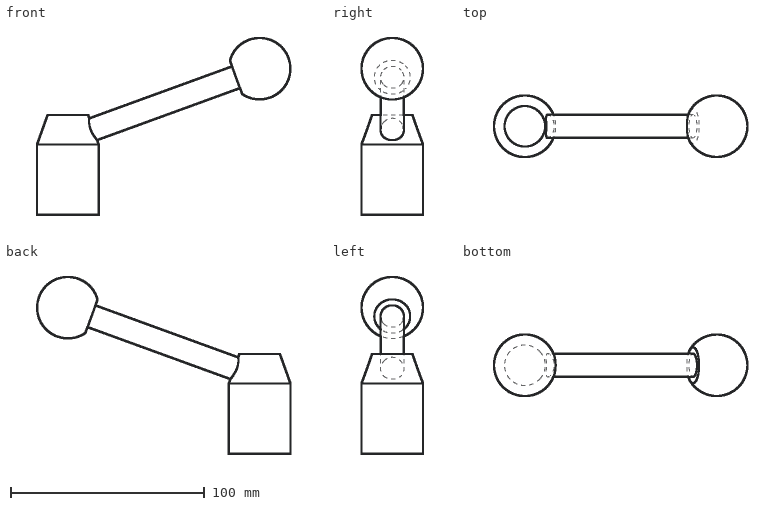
import cadquery as cq
import math

overall_length = 131.0
overall_height = 91.5
hub_diameter = 32.0
hub_cylinder_height = 36.3
hub_height = 51.6
hub_top_diameter = 21.0
ball_diameter = 32.0
ball_flat_diameter = 18.6
rod_diameter = 12.0
rod_angle = 20.0

ball_radius = ball_diameter / 2
ball_x = overall_length - hub_diameter / 2 - ball_radius
ball_z = overall_height - ball_radius
ball_flat_distance = math.sqrt(ball_radius**2 - (ball_flat_diameter / 2)**2)

slope = math.radians(rod_angle)
rod_start_z = ball_z - ball_x * math.tan(slope)
rod_length = ball_x / math.cos(slope)
rod_direction = (math.cos(slope), 0, math.sin(slope))


def make_hub():
    """Cylindrical hub with a tapered top."""
    return (
        cq.Workplane("XZ")
        .moveTo(0, 0)
        .lineTo(hub_diameter / 2, 0)
        .lineTo(hub_diameter / 2, hub_cylinder_height)
        .lineTo(hub_top_diameter / 2, hub_height)
        .lineTo(0, hub_height)
        .close()
        .revolve(360, (0, 0, 0), (0, 1, 0))
    )


def make_rod():
    """Round inclined rod from the hub axis to the ball centre."""
    rod_plane = cq.Plane(origin=(0, 0, rod_start_z), xDir=(0, 1, 0), normal=rod_direction)
    return cq.Workplane(rod_plane).circle(rod_diameter / 2).extrude(rod_length)


def make_ball():
    """Ball knob with a flat facing the hub, square to the rod."""
    profile_normal = cq.Vector(0, 1, 0).cross(cq.Vector(*rod_direction))
    profile_plane = cq.Plane(
        origin=(ball_x, 0, ball_z), xDir=(0, 1, 0), normal=profile_normal
    )
    return (
        cq.Workplane(profile_plane)
        .moveTo(0, -ball_flat_distance)
        .lineTo(ball_flat_diameter / 2, -ball_flat_distance)
        .threePointArc((ball_radius, 0), (0, ball_radius))
        .close()
        .revolve(360, (0, 0, 0), (0, 1, 0))
    )


result = make_hub().union(make_rod()).union(make_ball())